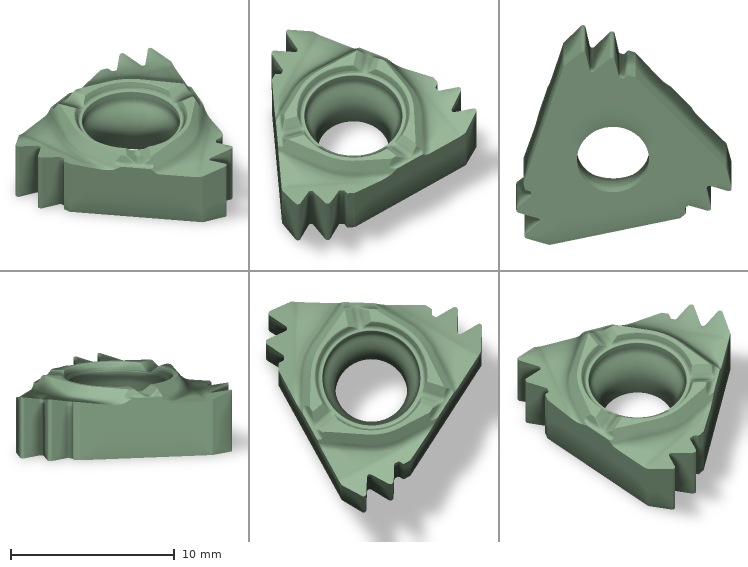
import cadquery as cq
import math

TURNS = (0, 120, 240)
SIDE_TILT = 30
SAME_POINT = 1.32e-07
SPARE = 0.13

height = 4.2
side_distance = 4.75
floor_z = 3.37

flank_slope = math.tan(math.radians(60))
corner_y = -5.05
first_tooth_x = -3.87
full_tooth_x = -2.05
full_tooth_sharp_y = -6.71
full_tooth_radius = 0.2
tooth_radius = 0.17
end_root_y = -5.38
end_root_width = 0.3
end_root_radius = 0.12
crest_y = -5.69
crest_radius = 0.07

rake_start = 4.7
rake_angle = 15
rake_reach = 7.9
rake_bend_radius = 0.5

boss_top_radius = 3.7
boss_foot_radius = 4.38
boss_arc_start = -2
boss_arc_end = 30
foot_fillet = 0.41
ground_radius = 9.21

hole_radius = 2.2
seat_bottom_z = 1.37
seat_radius = 2.2
seat_angle = 45
wall_radius = 2.99
groove_z = 3.75
groove_radius = 3.24
groove_corner_radius = 0.2
lip_rounding = 0.04
rim_radius = 3.43
rim_rounding = 0.07

channel_angle = 74
channel_top_width = 1.45
channel_bottom_width = 0.28
channel_bottom_radius = 0.29
channel_start = 3.13
channel_length = 3.16

ledge_z = 3.71
ledge_corner = 0.29
ledge_top_depth = 0.51
ledge_radius = 0.29
ledge_end_high = 0.53
ledge_end_low = -2.16
ledge_end_radius = 0.1
ledge_mouth_radius = 0.1


def turned(point, angle):
    """Turn an XY point about the hole axis by an angle in degrees."""
    c = math.cos(math.radians(angle))
    s = math.sin(math.radians(angle))
    return (point[0] * c - point[1] * s, point[0] * s + point[1] * c)


def polar(radius, angle):
    return turned((radius, 0), angle)


def toward(start, end, distance):
    """Point at a distance from start on the way to end."""
    ratio = distance / math.dist(start, end)
    return (start[0] + ratio * (end[0] - start[0]), start[1] + ratio * (end[1] - start[1]))


def rounded_wire(corners, plane="XY"):
    """Closed outline through (x, y, corner radius) entries; a zero radius leaves the corner sharp."""
    wire = cq.Workplane(plane)
    position = None
    for i, (x, y, radius) in enumerate(corners):
        corner = (x, y)
        before = corners[i - 1][:2]
        after = corners[(i + 1) % len(corners)][:2]
        back = toward(corner, before, 0.13)
        ahead = toward(corner, after, 0.13)
        half_angle = math.asin(math.dist(ahead, back) / 0.26)
        tangent = radius / math.tan(half_angle)
        first = toward(corner, before, tangent)
        last = toward(corner, after, tangent)
        if position is None:
            wire = wire.moveTo(*first)
        elif math.dist(position, first) > SAME_POINT:
            wire = wire.lineTo(*first)
        if radius > 0:
            half_way = ((ahead[0] + back[0]) / 2, (ahead[1] + back[1]) / 2)
            middle = toward(corner, half_way, radius / math.sin(half_angle) - radius)
            wire = wire.threePointArc(middle, last)
        position = last
    return wire.close()


def tooth_corners():
    """Outline of the -Y corner, from the left side face to the lower right side face."""
    first_sharp_y = corner_y - flank_slope * (first_tooth_x + side_distance)
    spacing = full_tooth_x - first_tooth_x
    root_offset = (spacing + (full_tooth_sharp_y - first_sharp_y) / flank_slope) / 2
    root_x = first_tooth_x + root_offset
    root_y = first_sharp_y + flank_slope * root_offset
    end_root_x = full_tooth_x + (end_root_y - full_tooth_sharp_y) / flank_slope
    end_wall_x = end_root_x + end_root_width
    crest_x = end_wall_x + (end_root_y - crest_y) / flank_slope
    side_tilt = math.radians(SIDE_TILT)
    side_x = (side_distance + crest_y * math.cos(side_tilt)) / math.sin(side_tilt)
    return [
        (-side_distance, corner_y, 0),
        (first_tooth_x, first_sharp_y, tooth_radius),
        (root_x, root_y, tooth_radius),
        (full_tooth_x, full_tooth_sharp_y, full_tooth_radius),
        (end_root_x, end_root_y, end_root_radius),
        (end_wall_x, end_root_y, end_root_radius),
        (crest_x, crest_y, crest_radius),
        (side_x, crest_y, 0),
    ]


def outline_prism():
    corners = []
    for turn in TURNS:
        corners += [turned((x, y), turn) + (radius,) for x, y, radius in tooth_corners()]
    return rounded_wire(corners).extrude(height)


def boss_on_ground():
    """Ground disc with the tapered boss standing on it and a fillet at its foot."""
    arc_middle = (boss_arc_start + boss_arc_end) / 2
    half_gap = (TURNS[1] - (boss_arc_end - boss_arc_start)) / 2
    meeting_radius = boss_foot_radius / math.cos(math.radians(half_gap))
    foot = cq.Workplane("XY", origin=(0, 0, floor_z)).moveTo(*polar(boss_foot_radius, boss_arc_start))
    for turn in TURNS:
        if turn:
            foot = foot.lineTo(*polar(boss_foot_radius, turn + boss_arc_start))
        foot = foot.threePointArc(
            polar(boss_foot_radius, turn + arc_middle), polar(boss_foot_radius, turn + boss_arc_end)
        )
        foot = foot.lineTo(*polar(meeting_radius, turn + boss_arc_end + half_gap))
    boss_height = height - floor_z
    taper = math.degrees(math.atan((boss_foot_radius - boss_top_radius) / boss_height))
    boss = foot.close().extrude(boss_height, taper=taper)
    ground = cq.Workplane("XY").circle(ground_radius).extrude(floor_z)
    foot_edges = cq.selectors.BoxSelector(
        (-ground_radius + SPARE, -ground_radius + SPARE, floor_z - SPARE),
        (ground_radius - SPARE, ground_radius - SPARE, floor_z + SPARE),
        boundingbox=True,
    )
    return ground.union(boss).edges(foot_edges).fillet(foot_fillet)


def rake_wedge():
    """Ramp that lifts the ground towards the -Y corner."""
    rise = (rake_reach - rake_start) * math.tan(math.radians(rake_angle))
    inner = -boss_foot_radius
    profile = [
        (-rake_reach, 0, 0),
        (inner, 0, 0),
        (inner, floor_z, 0),
        (-rake_start, floor_z, rake_bend_radius),
        (-rake_reach, floor_z + rise, 0),
    ]
    return rounded_wire(profile, "YZ").extrude(rake_reach, both=True)


def screw_hole():
    seat_tangent = seat_radius * math.tan(math.radians(seat_angle / 2))
    seat_corner_z = seat_bottom_z + seat_tangent
    wall_foot_z = seat_corner_z + (wall_radius - hole_radius) / math.tan(math.radians(seat_angle))
    foot_tangent = (wall_radius - hole_radius) / math.sin(math.radians(seat_angle)) - seat_tangent
    wall_foot_radius = foot_tangent / math.tan(math.radians(seat_angle / 2))
    profile = [
        (0, 0, 0),
        (hole_radius, 0, 0),
        (hole_radius, seat_corner_z, seat_radius),
        (wall_radius, wall_foot_z, wall_foot_radius),
        (wall_radius, groove_z, lip_rounding),
        (groove_radius, groove_z, groove_corner_radius),
        (rim_radius, height, rim_rounding),
        (rim_radius + SPARE, height, 0),
        (rim_radius + SPARE, height + SPARE, 0),
        (0, height + SPARE, 0),
    ]
    return rounded_wire(profile, "XZ").revolve(360, (0, 0), (0, 1))


def channel():
    """Flat-bottomed V channel running outwards along +X."""
    top = channel_top_width / 2
    bottom = channel_bottom_width / 2
    profile = [
        (-top, height, 0),
        (-bottom, groove_z, channel_bottom_radius),
        (bottom, groove_z, channel_bottom_radius),
        (top, height, 0),
    ]
    cutter = rounded_wire(profile, "YZ").extrude(channel_length)
    return cutter.translate((channel_start, 0, 0))


def side_ledge():
    profile = [
        (-side_distance - SPARE, ledge_z, 0),
        (-side_distance + ledge_corner, ledge_z, ledge_radius),
        (-side_distance + ledge_top_depth, height, 0),
        (-side_distance - SPARE, height, 0),
    ]
    cutter = rounded_wire(profile, "XZ").extrude(ledge_end_high - ledge_end_low)
    cutter = cutter.translate((0, ledge_end_high, 0))
    end_edges = cq.selectors.BoxSelector(
        (-side_distance - SPARE / 2, ledge_end_low - SPARE, ledge_z - SPARE),
        (0, ledge_end_high + SPARE, height - SPARE / 2),
    )
    return cutter.edges(end_edges).edges("not(|Y)").fillet(ledge_end_radius)


def side_opening():
    """Ledge and the channel that opens onto it, as one cutter on the -X side."""
    opening = side_ledge().union(channel().rotate((0, 0, 0), (0, 0, 1), channel_angle + TURNS[1]))
    wall_edges = cq.selectors.BoxSelector(
        (-side_distance + ledge_corner - SPARE, ledge_end_low + SPARE, ledge_z),
        (-side_distance + ledge_top_depth + SPARE, ledge_end_high - SPARE, height - SPARE / 2),
    )
    return opening.edges(wall_edges).fillet(ledge_mouth_radius)


def around(feature):
    """Three copies of a feature about the hole axis."""
    copies = cq.Workplane("XY")
    for turn in TURNS:
        copies = copies.add(feature.rotate((0, 0, 0), (0, 0, 1), turn))
    return copies.combine()


result = boss_on_ground().union(around(rake_wedge())).intersect(outline_prism())
result = result.cut(screw_hole())
result = result.cut(around(side_opening()))